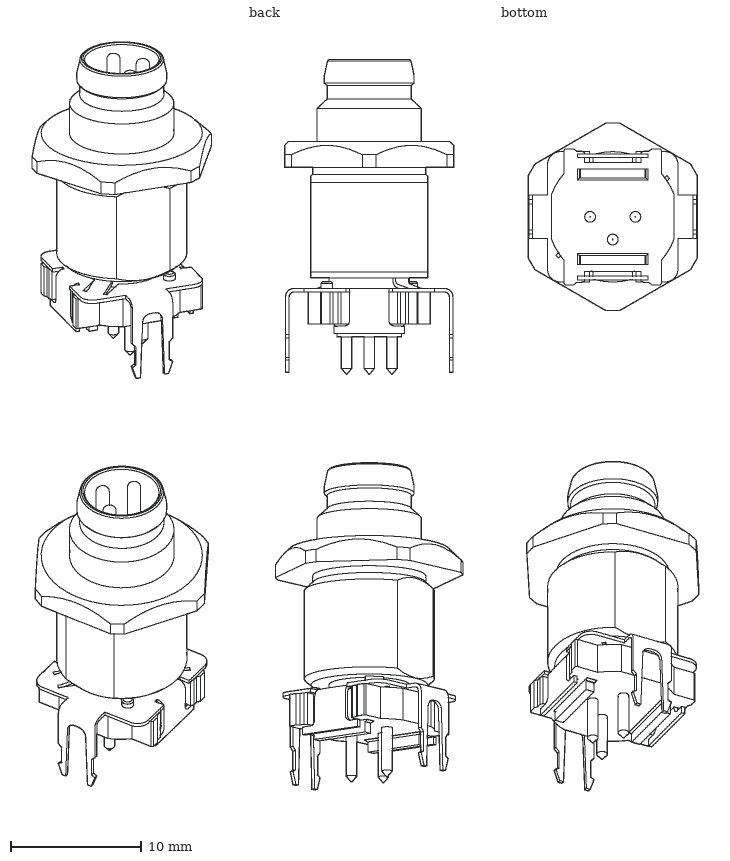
import cadquery as cq
import math


HOUSING_BOTTOM = 7.4
BARREL_CHAMFER_TOP = 7.85
BARREL_TOP = 14.7
GROOVE_BOTTOM = 15.34
FLANGE_BOTTOM = 15.87
FLANGE_TOP = 17.87
COLLAR_TOP = 20.38
LATCH_NECK_BOTTOM = 21.1
LATCH_NECK_TOP = 22.15
LATCH_BOTTOM = 22.35
LATCH_TOP = 22.9
HOUSING_TOP = 24.15

BARREL_RADIUS = 5.0
BARREL_END_RADIUS = 4.47
BARREL_FLAT_OFFSET = 4.5
GROOVE_RADIUS = 4.35
COLLAR_RADIUS = 4.0
LATCH_NECK_RADIUS = 3.24
LATCH_RADIUS = 3.45
MOUTH_OUTER_RADIUS = 3.2
MOUTH_CHAMFER = 0.12
SOCKET_RADIUS = 2.85

FLANGE_ACROSS_FLATS = 13.0
FLANGE_ACROSS_CORNERS = 14.4
FLANGE_FACE_RADIUS = 6.18

SHEET = 0.3
BEND_RADIUS = 0.65
PLATE_TOP = 6.6
PLATE_BOTTOM = PLATE_TOP - SHEET
PLATE_HALF = 5.0
PLATE_CORNER_RADIUS = 1.0
SLOT_WIDTH = 0.3

LEG_OUTER_X = 6.42
LEG_HALF_WIDTH = 1.67
LEG_BOTTOM = 0.15
ARCH_HALF_WIDTH = 0.82
ARCH_TOP = 5.4
ARCH_CORNER_RADIUS = 0.65
LEG_TIP_OUTER_Y = 1.33
LEG_TIP_INNER_Y = 1.0
BARB_WAIST_Y = 1.38
BARB_WAIST_TOP = 2.78
BARB_SHOULDER_TOP = 3.07
BARB_WAIST_BOTTOM = 1.28
BARB_CORNER_Z = 1.1

TAB_OUTER_Y = 4.83
TAB_HALF_WIDTH = 1.5
TAB_FOOT_HALF_WIDTH = 2.7
TAB_FOOT_TOP = 3.7
TAB_BOTTOM = 3.12
TAB_CORNER_RADIUS = 0.48
TAB_BEND_START_Y = TAB_OUTER_Y - BEND_RADIUS

TONGUE_HALF_WIDTH = 0.7
TONGUE_HINGE_RADIUS = 4.95
TONGUE_UPRIGHT_RADIUS = 3.55
TONGUE_RISE = 0.39
TONGUE_SLOT_END_RADIUS = 5.17
TONGUE_INNER_BEND = 0.31
TONGUE_ANGLES = (-45, 135)

NECK_RADIUS = 3.1
NECK_TOP = GROOVE_BOTTOM
SOCKET_FLOOR = FLANGE_TOP
BLOCK_BOTTOM = 3.85
BLOCK_RADIUS = 5.0
BLOCK_FLAT_OFFSET = 4.69
BLOCK_HALF_WIDTH = 3.75
BLOCK_FRONT_Y = 5.22
BLOCK_CHAMFER_X = 0.1
BLOCK_CHAMFER_Y = 0.15
RECESS_STEPS_X = (2.15, 2.4, 2.78, 3.02)
RECESS_MIDDLE_DEPTH = 0.17
RECESS_STEP_DEPTH = 0.31

FOOT_HALF_LENGTH = 2.49
FOOT_INNER_Y = 2.97
FOOT_OUTER_Y = 3.67
FOOT_BOTTOM = 2.87
FOOT_BASE_HALF_LENGTH = 2.7
FOOT_BASE_INNER_Y = 2.83
FOOT_BASE_HEIGHT = 0.17
FOOT_BASE_CHAMFER = 0.15

POST_X = 3.25
POST_Y = 2.63
POST_RADIUS = 0.45
POST_TOP = 7.1
POST_CHAMFER = 0.12

PIN_CIRCLE_RADIUS = 1.75
PIN_ANGLES = (0, 90, 180)
CONTACT_RADIUS = 0.5
CONTACT_TOP = 23.75
CONTACT_DOME_RADIUS = 0.36
SOLDER_PIN_RADIUS = 0.4
SOLDER_TIP_HEIGHT = 0.45
SOLDER_TIP_RADIUS = 0.02


def cylinder(radius, bottom, top):
    return cq.Workplane("XY").workplane(offset=bottom).circle(radius).extrude(top - bottom)


def block(x_min, x_max, y_min, y_max, z_min, z_max):
    size = (x_max - x_min, y_max - y_min, z_max - z_min)
    return cq.Workplane("XY").box(*size, centered=False).translate((x_min, y_min, z_min))


def revolve_profile(points):
    """Turns an outline of (radius, z) points around the Z axis."""
    return cq.Workplane("XZ").polyline(points).close().revolve(360, (0, 0, 0), (0, 1, 0))


def both_ends(shape):
    """The shape together with its half-turn copy about the Z axis."""
    return shape.union(shape.rotate((0, 0, 0), (0, 0, 1), 180))


def make_barrel():
    barrel = revolve_profile([
        (0, HOUSING_BOTTOM),
        (BARREL_END_RADIUS, HOUSING_BOTTOM),
        (BARREL_RADIUS, BARREL_CHAMFER_TOP),
        (BARREL_RADIUS, BARREL_TOP),
        (GROOVE_RADIUS, GROOVE_BOTTOM),
        (GROOVE_RADIUS, FLANGE_BOTTOM),
        (0, FLANGE_BOTTOM),
    ])
    between_flats = block(
        -BARREL_FLAT_OFFSET, BARREL_FLAT_OFFSET, -BARREL_RADIUS, BARREL_RADIUS, HOUSING_BOTTOM, FLANGE_BOTTOM
    )
    return barrel.intersect(between_flats)


def make_flange():
    """Hexagon with corners cut flat and a 45 degree cone around its upper face."""
    def hexagon(across_flats, turn):
        corner_diameter = across_flats / math.cos(math.pi / 6)
        prism = cq.Workplane("XY").polygon(6, corner_diameter).extrude(FLANGE_TOP - FLANGE_BOTTOM)
        return prism.rotate((0, 0, 0), (0, 0, 1), turn).translate((0, 0, FLANGE_BOTTOM))

    flange = hexagon(FLANGE_ACROSS_FLATS, 30).intersect(hexagon(FLANGE_ACROSS_CORNERS, 0))
    cone_bottom_radius = FLANGE_FACE_RADIUS + FLANGE_TOP - FLANGE_BOTTOM
    cone = revolve_profile([
        (0, FLANGE_BOTTOM),
        (cone_bottom_radius, FLANGE_BOTTOM),
        (FLANGE_FACE_RADIUS, FLANGE_TOP),
        (0, FLANGE_TOP),
    ])
    return flange.intersect(cone)


def make_plug_end():
    return revolve_profile([
        (0, FLANGE_TOP),
        (COLLAR_RADIUS, FLANGE_TOP),
        (COLLAR_RADIUS, COLLAR_TOP),
        (LATCH_NECK_RADIUS, LATCH_NECK_BOTTOM),
        (LATCH_NECK_RADIUS, LATCH_NECK_TOP),
        (LATCH_RADIUS, LATCH_BOTTOM),
        (LATCH_RADIUS, LATCH_TOP),
        (MOUTH_OUTER_RADIUS, HOUSING_TOP - MOUTH_CHAMFER),
        (MOUTH_OUTER_RADIUS - MOUTH_CHAMFER, HOUSING_TOP),
        (0, HOUSING_TOP),
    ])


def make_bore():
    """Wide bore for the insert, then the socket with a chamfered mouth."""
    return revolve_profile([
        (0, HOUSING_BOTTOM),
        (NECK_RADIUS, HOUSING_BOTTOM),
        (NECK_RADIUS, NECK_TOP),
        (SOCKET_RADIUS, NECK_TOP),
        (SOCKET_RADIUS, HOUSING_TOP - MOUTH_CHAMFER),
        (SOCKET_RADIUS + MOUTH_CHAMFER, HOUSING_TOP),
        (0, HOUSING_TOP),
    ])


def make_housing():
    return make_barrel().union(make_flange()).union(make_plug_end()).cut(make_bore())


def make_block():
    """Round base with side flats, crossed by a straight bar with a stepped recess in each end."""
    base = cylinder(BLOCK_RADIUS, BLOCK_BOTTOM, PLATE_BOTTOM).intersect(
        block(-BLOCK_FLAT_OFFSET, BLOCK_FLAT_OFFSET, -BLOCK_RADIUS, BLOCK_RADIUS, BLOCK_BOTTOM, PLATE_BOTTOM)
    )
    middle_y = BLOCK_FRONT_Y - RECESS_MIDDLE_DEPTH
    inner_y = BLOCK_FRONT_Y - RECESS_STEP_DEPTH
    wall, inner_edge, middle_edge, outer_edge = RECESS_STEPS_X
    right_side = [
        (BLOCK_HALF_WIDTH, 0),
        (BLOCK_HALF_WIDTH, BLOCK_FRONT_Y - BLOCK_CHAMFER_Y),
        (BLOCK_HALF_WIDTH - BLOCK_CHAMFER_X, BLOCK_FRONT_Y),
        (outer_edge, BLOCK_FRONT_Y),
        (middle_edge, middle_y),
        (inner_edge, middle_y),
        (wall, inner_y),
        (wall, TAB_BEND_START_Y),
    ]
    left_side = [(-x, y) for x, y in reversed(right_side)]
    half_bar = (
        cq.Workplane("XY").workplane(offset=BLOCK_BOTTOM)
        .polyline(right_side + left_side).close().extrude(PLATE_BOTTOM - BLOCK_BOTTOM)
    )
    recess_band = block(-wall, wall, TAB_BEND_START_Y, BLOCK_FRONT_Y, BLOCK_BOTTOM, PLATE_BOTTOM)
    return both_ends(half_bar).union(base).cut(both_ends(recess_band))


def make_foot():
    """Rib under the block on a low base with sloping ends."""
    rib = block(-FOOT_HALF_LENGTH, FOOT_HALF_LENGTH, FOOT_INNER_Y, FOOT_OUTER_Y, FOOT_BOTTOM, BLOCK_BOTTOM)
    base = block(
        -FOOT_BASE_HALF_LENGTH, FOOT_BASE_HALF_LENGTH, FOOT_BASE_INNER_Y, FOOT_OUTER_Y,
        BLOCK_BOTTOM - FOOT_BASE_HEIGHT, BLOCK_BOTTOM,
    )
    base = base.faces("<Z").edges("|Y or <Y").chamfer(FOOT_BASE_CHAMFER)
    return rib.union(base)


def make_post():
    post = cylinder(POST_RADIUS, PLATE_BOTTOM, POST_TOP).faces(">Z").chamfer(POST_CHAMFER)
    return post.translate((-POST_X, -POST_Y, 0))


def make_pin():
    """Upper contact with a domed top, and thinner solder end with a conical tip, both along the Z axis."""
    contact = cylinder(CONTACT_RADIUS, SOCKET_FLOOR, CONTACT_TOP).edges(">Z").fillet(CONTACT_DOME_RADIUS)
    solder_end = revolve_profile([
        (0, 0),
        (SOLDER_TIP_RADIUS, 0),
        (SOLDER_PIN_RADIUS, SOLDER_TIP_HEIGHT),
        (SOLDER_PIN_RADIUS, BLOCK_BOTTOM),
        (0, BLOCK_BOTTOM),
    ])
    return contact, solder_end


def make_insert():
    insert = make_block()
    insert = insert.union(cylinder(NECK_RADIUS, PLATE_BOTTOM, NECK_TOP))
    insert = insert.union(cylinder(SOCKET_RADIUS, NECK_TOP, SOCKET_FLOOR))
    insert = insert.union(both_ends(make_foot())).union(both_ends(make_post()))
    for angle in PIN_ANGLES:
        for pin_end in make_pin():
            pin_end = pin_end.translate((PIN_CIRCLE_RADIUS, 0, 0)).rotate((0, 0, 0), (0, 0, 1), angle)
            insert = insert.union(pin_end)
    return insert


def bent_strip(inner, outer, bottom, half_width):
    """Strip running along +X from inner, bent down at outer to the given bottom height."""
    profile = (
        cq.Workplane("XZ", origin=(0, half_width, 0))
        .moveTo(inner, PLATE_TOP)
        .lineTo(outer - BEND_RADIUS, PLATE_TOP)
        .radiusArc((outer, PLATE_TOP - BEND_RADIUS), BEND_RADIUS)
        .lineTo(outer, bottom)
        .lineTo(outer - SHEET, bottom)
        .lineTo(outer - SHEET, PLATE_TOP - BEND_RADIUS)
        .radiusArc((outer - BEND_RADIUS, PLATE_BOTTOM), SHEET - BEND_RADIUS)
        .lineTo(inner, PLATE_BOTTOM)
        .close()
    )
    return profile.extrude(2 * half_width)


def make_leg():
    """Forked snap-in leg on the +X side with a barb on each prong."""
    strip = bent_strip(PLATE_HALF - SHEET, LEG_OUTER_X, LEG_BOTTOM, LEG_HALF_WIDTH)
    arch_flat = ARCH_HALF_WIDTH - ARCH_CORNER_RADIUS
    arch_spring = ARCH_TOP - ARCH_CORNER_RADIUS
    fork_gap = (
        cq.Workplane("YZ")
        .moveTo(-LEG_TIP_INNER_Y, LEG_BOTTOM)
        .lineTo(-ARCH_HALF_WIDTH, arch_spring)
        .radiusArc((-arch_flat, ARCH_TOP), ARCH_CORNER_RADIUS)
        .lineTo(arch_flat, ARCH_TOP)
        .radiusArc((ARCH_HALF_WIDTH, arch_spring), ARCH_CORNER_RADIUS)
        .lineTo(LEG_TIP_INNER_Y, LEG_BOTTOM)
        .close().extrude(LEG_OUTER_X)
    )
    barb_side = [
        (LEG_HALF_WIDTH, BARB_SHOULDER_TOP),
        (BARB_WAIST_Y, BARB_WAIST_TOP),
        (BARB_WAIST_Y, BARB_WAIST_BOTTOM),
        (LEG_HALF_WIDTH, BARB_CORNER_Z),
        (LEG_TIP_OUTER_Y, LEG_BOTTOM),
        (LEG_HALF_WIDTH, LEG_BOTTOM),
    ]
    leg = strip.cut(fork_gap)
    for side in (1, -1):
        outline = [(side * y, z) for y, z in barb_side]
        notch = cq.Workplane("YZ").polyline(outline).close().extrude(LEG_OUTER_X)
        leg = leg.cut(notch)
    return leg


def make_tab():
    """T-shaped tab on the +Y side that bends down into the recess of the block."""
    stem = bent_strip(TAB_BEND_START_Y - SHEET, TAB_OUTER_Y, TAB_BOTTOM, TAB_HALF_WIDTH)
    stem = stem.rotate((0, 0, 0), (0, 0, 1), 90)
    cross = block(
        -TAB_FOOT_HALF_WIDTH, TAB_FOOT_HALF_WIDTH, TAB_OUTER_Y - SHEET, TAB_OUTER_Y, TAB_BOTTOM, TAB_FOOT_TOP
    )
    tab = stem.union(cross)
    inner_corners = cq.selectors.BoxSelector(
        (-TAB_HALF_WIDTH - SHEET, 0, TAB_FOOT_TOP - SHEET),
        (TAB_HALF_WIDTH + SHEET, PLATE_HALF, TAB_FOOT_TOP + SHEET),
    )
    return tab.edges("|Y").edges(inner_corners).fillet(TAB_CORNER_RADIUS)


def make_tongue():
    """Spring tongue along +X: it slopes up from its hinge and turns up against the housing."""
    inner_radius = TONGUE_UPRIGHT_RADIUS - SHEET
    slope = TONGUE_RISE / (TONGUE_HINGE_RADIUS - TONGUE_UPRIGHT_RADIUS)
    lower_corner_z = PLATE_BOTTOM + slope * (TONGUE_HINGE_RADIUS - inner_radius)
    upper_corner_z = PLATE_TOP + TONGUE_RISE
    tongue = (
        cq.Workplane("XZ", origin=(0, TONGUE_HALF_WIDTH, 0))
        .polyline([
            (TONGUE_SLOT_END_RADIUS, PLATE_TOP),
            (TONGUE_HINGE_RADIUS, PLATE_TOP),
            (TONGUE_UPRIGHT_RADIUS, upper_corner_z),
            (TONGUE_UPRIGHT_RADIUS, HOUSING_BOTTOM),
            (inner_radius, HOUSING_BOTTOM),
            (inner_radius, lower_corner_z),
            (TONGUE_HINGE_RADIUS, PLATE_BOTTOM),
            (TONGUE_SLOT_END_RADIUS, PLATE_BOTTOM),
        ])
        .close().extrude(2 * TONGUE_HALF_WIDTH)
    )
    outer_bend = TONGUE_INNER_BEND + SHEET
    lower_corner = cq.selectors.NearestToPointSelector((inner_radius, 0, lower_corner_z))
    tongue = tongue.edges(lower_corner).fillet(outer_bend)
    upper_corner = cq.selectors.NearestToPointSelector((TONGUE_UPRIGHT_RADIUS, 0, upper_corner_z))
    return tongue.edges(upper_corner).fillet(TONGUE_INNER_BEND)


def make_shield():
    plate = block(-PLATE_HALF, PLATE_HALF, -PLATE_HALF, PLATE_HALF, PLATE_BOTTOM, PLATE_TOP)
    plate = plate.edges("|Z").fillet(PLATE_CORNER_RADIUS)
    plate = plate.cut(cylinder(NECK_RADIUS, PLATE_BOTTOM, PLATE_TOP)).cut(both_ends(make_post()))

    notch_half_width = TAB_HALF_WIDTH + SLOT_WIDTH
    tab_notch = block(
        -notch_half_width, notch_half_width, TAB_BEND_START_Y, PLATE_HALF, PLATE_BOTTOM, PLATE_TOP
    )
    plate = plate.cut(both_ends(tab_notch))
    plate = plate.union(both_ends(make_leg())).union(both_ends(make_tab()))

    window_half_width = TONGUE_HALF_WIDTH + SLOT_WIDTH
    window = block(0, TONGUE_SLOT_END_RADIUS, -window_half_width, window_half_width, PLATE_BOTTOM, PLATE_TOP)
    for angle in TONGUE_ANGLES:
        plate = plate.cut(window.rotate((0, 0, 0), (0, 0, 1), angle))
        plate = plate.union(make_tongue().rotate((0, 0, 0), (0, 0, 1), angle))
    return plate


housing = make_housing().solids()
insert = make_insert().solids()
shield = make_shield().solids()

result = cq.Compound.makeCompound([housing.val(), insert.val(), shield.val()])